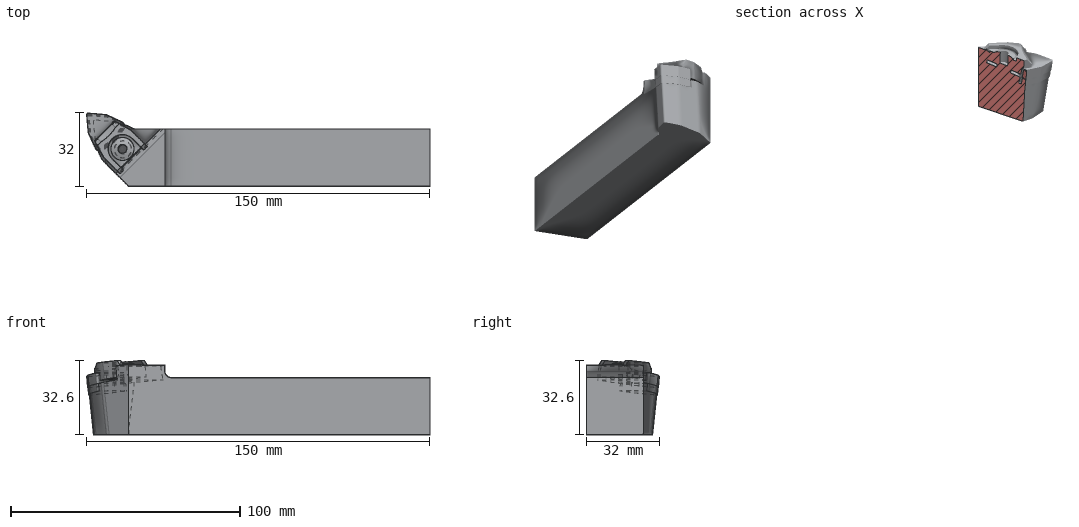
import cadquery as cq
import math

LENGTH = 150.0
SHANK = 25.0
BLOCK_TOP = 30.5
BLOCK_END = 34.2
STEP_FILLET = 2.7
FLANK_FOOT = 18.3
FLANK_RUN = 7.5
SHANK_START = 18.6
STRIP_END = 30.3
TRIM_HEIGHT = 7.5

OVERALL_Y = 32.0
TIP_Z = 25.4
INSERT_DIP = 7.0
HEAD_DRAFT = 8.4
CLAMP_DIP = 4.3

INSCRIBED = 12.8
TIP_ANGLE = 80.0
MID_ANGLE = 160.0
NOSE_RADIUS = 0.8
INSERT_THICK = 4.8
SHIM_THICK = 3.3
SHIM_INSET = 0.2
HEAD_INSET = 0.3
SEAT_GAP = 0.5
HEAD_BLEND = 6.0
HEAD_BACK = 30.0
HEAD_HALF = 18.0

CLAMP_FRONT = 11.4
CLAMP_FRONT_HALF = 6.2
CLAMP_SHOULDER = 19.2
CLAMP_HALF = 8.4
CLAMP_BACK = 27.5
CLAMP_RISE = 5.1
CLAMP_LIFT = 1.4
NOSE_RUN = 2.1
NOSE_DROP = 2.4
GROOVE_WIDTH = 9.0
GROOVE_SAG = 0.38
TAIL_RUN = 2.1
TAIL_DROP = 2.7
WALL = 28.2

SCREW_AT = 22.2
SCREW_DIAMETER = 10.0
SCREW_RIM = 0.5
SCREW_TOP = 0.2
SLOT_WIDTH = 12.5
SLOT_DEPTH = 1.8
SOCKET_DIAMETER = 3.9
SOCKET_DEPTH = 6.0
STEM_DIAMETER = 7.5

FAR = 90.0

HALF_TIP = math.radians(TIP_ANGLE / 2)
HALF_MID = math.radians(MID_ANGLE / 2)
CENTRE = INSCRIBED / 2 / math.sin(HALF_TIP)
NOSE_SETBACK = NOSE_RADIUS * (1 / math.sin(HALF_TIP) / math.sqrt(2) - 1)
TIP_X = -NOSE_SETBACK
TIP_Y = OVERALL_Y + NOSE_SETBACK


def tip_plane(dip, rise=0.0, along=0.0, z=TIP_Z):
    """Plane with x running from the tip along its axis and upward by dip degrees, y across."""
    level = math.cos(math.radians(dip)) / math.sqrt(2)
    climb = math.sin(math.radians(dip))
    lean = climb / math.sqrt(2)
    shift = along / math.sqrt(2)
    return cq.Plane(
        origin=(TIP_X + shift, TIP_Y - shift, z + rise),
        xDir=(level, -level, climb),
        normal=(-lean, lean, math.cos(math.radians(dip))),
    )


INSERT_PLANE = tip_plane(INSERT_DIP)
CLAMP_PLANE = tip_plane(CLAMP_DIP, CLAMP_RISE)


def side_plane(plane):
    """Vertical section along the tip axis: x along the plane, y along its normal."""
    across = plane.yDir
    return cq.Plane(origin=plane.origin, xDir=plane.xDir, normal=(-across.x, -across.y, -across.z))


def trigon_points(inset):
    """Three sharp corners alternating with three blunt ones, starting at the tip."""
    corner_radius = (INSCRIBED / 2 - inset) / math.sin(HALF_TIP)
    mid_radius = (INSCRIBED / 2 - inset) / math.sin(HALF_MID)
    points = []
    for index in range(6):
        radius = mid_radius if index % 2 else corner_radius
        angle = math.pi + index * math.pi / 3
        points.append((CENTRE + radius * math.cos(angle), radius * math.sin(angle)))
    return points


def fillet_upright_edges(body, points, radius):
    for x, y in points:
        body = body.edges("|Z").edges(cq.selectors.NearestToPointSelector((x, y, 0))).fillet(radius)
    return body


def trigon_plate(top, thickness, inset, blend=0.0):
    """Trigon plate parallel to the insert top; top is its height above that plane."""
    points = trigon_points(inset)
    plate = cq.Workplane("XY").polyline(points).close().extrude(-thickness)
    plate = fillet_upright_edges(plate, points[0::2], NOSE_RADIUS)
    if blend:
        plate = fillet_upright_edges(plate, points[1::2], blend)
    return cq.Workplane(plate.translate((0, 0, top)).val().moved(cq.Location(INSERT_PLANE)))


def make_shank():
    profile = [
        (0, 0), (LENGTH, 0), (LENGTH, SHANK), (BLOCK_END, SHANK), (BLOCK_END, BLOCK_TOP), (0, BLOCK_TOP),
    ]
    bar = cq.Workplane("XZ").polyline(profile).close().extrude(-SHANK)
    step_corner = cq.selectors.NearestToPointSelector((BLOCK_END, SHANK / 2, SHANK))
    bar = bar.edges("|Y").edges(step_corner).fillet(STEP_FILLET)
    plan = [
        (FLANK_FOOT, 0), (LENGTH, 0), (LENGTH, SHANK),
        (SHANK_START, SHANK), (FLANK_FOOT - FLANK_RUN, FLANK_RUN),
    ]
    return bar.intersect(cq.Workplane("XY").polyline(plan).close().extrude(FAR))


def make_head():
    """Leaning walls that follow the two front edges of the insert on each side."""
    tip, mid, corner = trigon_points(HEAD_INSET)[:3]
    reach = (HEAD_HALF + mid[1]) / (mid[1] - corner[1])
    end = mid[0] + reach * (corner[0] - mid[0])
    outline = [
        tip, mid, (end, -HEAD_HALF), (HEAD_BACK + end, -HEAD_HALF),
        (HEAD_BACK + end, HEAD_HALF), (end, HEAD_HALF), (mid[0], -mid[1]),
    ]
    walls = cq.Workplane("XY").polyline(outline).close().extrude(-FAR)
    walls = fillet_upright_edges(walls, [tip], NOSE_RADIUS)
    walls = fillet_upright_edges(walls, [mid, (mid[0], -mid[1])], HEAD_BLEND)
    walls = cq.Workplane(walls.val().moved(cq.Location(tip_plane(HEAD_DRAFT))))
    inside_flank = [(FLANK_FOOT, 0), (BLOCK_END, 0), (BLOCK_END, FAR), (FLANK_FOOT - FAR, FAR)]
    return walls.intersect(cq.Workplane("XY").polyline(inside_flank).close().extrude(BLOCK_TOP))


def make_body():
    body = make_shank().union(make_head()).clean()
    flank_joint = cq.selectors.NearestToPointSelector((FLANK_FOOT / 2, FLANK_FOOT / 2, BLOCK_TOP / 2))
    body = body.edges(flank_joint).fillet(HEAD_BLEND)
    ledge = cq.Workplane(INSERT_PLANE).workplane(offset=-INSERT_THICK)
    body = body.cut(ledge.center(WALL - FAR / 2, 0).rect(FAR, FAR).extrude(FAR))
    strip = cq.Workplane(tip_plane(INSERT_DIP, along=STRIP_END, z=BLOCK_TOP))
    body = body.cut(strip.center(-FAR / 2, 0).rect(FAR, FAR).extrude(TRIM_HEIGHT))
    body = body.cut(trigon_plate(-INSERT_THICK, SHIM_THICK, -SEAT_GAP))
    return body.union(trigon_plate(-INSERT_THICK, SHIM_THICK, SHIM_INSET, HEAD_BLEND))


def make_clamp():
    tail_end = CLAMP_BACK + TAIL_RUN
    outline = [
        (CLAMP_FRONT, -CLAMP_FRONT_HALF), (CLAMP_SHOULDER, -CLAMP_HALF), (tail_end, -CLAMP_HALF),
        (tail_end, CLAMP_HALF), (CLAMP_SHOULDER, CLAMP_HALF), (CLAMP_FRONT, CLAMP_FRONT_HALF),
    ]
    underside = cq.Workplane(INSERT_PLANE).workplane(offset=CLAMP_LIFT - INSERT_THICK)
    clamp = underside.polyline(outline).close().extrude(FAR)
    top = cq.Workplane(CLAMP_PLANE)
    clamp = clamp.cut(top.rect(FAR, FAR).extrude(2 * FAR))
    clamp = clamp.cut(trigon_plate(0, INSERT_THICK, -SEAT_GAP))

    section = cq.Workplane(side_plane(CLAMP_PLANE))
    slope_top = CLAMP_FRONT + NOSE_RUN
    front_cut = [(0, 0), (slope_top, 0), (CLAMP_FRONT, -NOSE_DROP), (0, -NOSE_DROP)]
    tail_cut = [(CLAMP_BACK, 0), (CLAMP_BACK + 2 * TAIL_RUN, 0), (CLAMP_BACK + 2 * TAIL_RUN, -2 * TAIL_DROP)]
    for cut in (front_cut, tail_cut):
        clamp = clamp.cut(section.polyline(cut).close().extrude(FAR, both=True))

    groove_radius = (GROOVE_WIDTH ** 2 / 4 + GROOVE_SAG ** 2) / (2 * GROOVE_SAG)
    along = CLAMP_PLANE.xDir * NOSE_RUN + CLAMP_PLANE.zDir * NOSE_DROP
    outward = CLAMP_PLANE.zDir * NOSE_RUN - CLAMP_PLANE.xDir * NOSE_DROP
    slope_edge = CLAMP_PLANE.toWorldCoords((slope_top, 0, 0))
    axis_point = slope_edge + outward.normalized() * (groove_radius - GROOVE_SAG)
    groove_plane = cq.Plane(origin=axis_point, xDir=CLAMP_PLANE.yDir, normal=along)
    clamp = clamp.cut(cq.Workplane(groove_plane).circle(groove_radius).extrude(2 * NOSE_DROP, both=True))

    to_back = CLAMP_BACK - SCREW_AT
    clamp = clamp.cut(top.center(SCREW_AT, 0).circle(SLOT_WIDTH / 2).extrude(-SLOT_DEPTH))
    clamp = clamp.cut(top.center(SCREW_AT + to_back / 2, 0).rect(to_back, SLOT_WIDTH).extrude(-SLOT_DEPTH))
    return clamp.cut(top.center(CLAMP_BACK + TAIL_RUN, 0).rect(2 * TAIL_RUN, SLOT_WIDTH).extrude(-TAIL_DROP))


def make_screw():
    """Domed head in the slot, and the stem that stands on the ledge."""
    radius = SCREW_DIAMETER / 2
    floor = -SLOT_DEPTH
    dome_low = floor + SCREW_RIM
    dome_rise = -SCREW_TOP - dome_low
    dome_radius = (radius ** 2 + dome_rise ** 2) / (2 * dome_rise)
    half_angle = math.asin(radius / dome_radius) / 2
    dome_mid = (
        SCREW_AT + dome_radius * math.sin(half_angle),
        -SCREW_TOP - dome_radius * (1 - math.cos(half_angle)),
    )
    head = (
        cq.Workplane(side_plane(CLAMP_PLANE))
        .moveTo(SCREW_AT, floor).lineTo(SCREW_AT + radius, floor).lineTo(SCREW_AT + radius, dome_low)
        .threePointArc(dome_mid, (SCREW_AT, -SCREW_TOP)).close()
        .revolve(360, (SCREW_AT, 0, 0), (SCREW_AT, 1, 0))
    )
    ledge = cq.Workplane(INSERT_PLANE).workplane(offset=-INSERT_THICK)
    stem = ledge.center(SCREW_AT, 0).circle(STEM_DIAMETER / 2).extrude(2 * CLAMP_LIFT)
    return head, stem


def make_holder():
    """Toolholder with shim, clamp and screw in one piece."""
    head, stem = make_screw()
    holder = make_body().union(make_clamp()).union(stem).union(head)
    socket = cq.Workplane(CLAMP_PLANE).center(SCREW_AT, 0).circle(SOCKET_DIAMETER / 2).extrude(-SOCKET_DEPTH)
    return holder.cut(socket)


insert = trigon_plate(0, INSERT_THICK, 0)
holder = make_holder()

result = cq.Compound.makeCompound([holder.solids().val(), insert.val()])